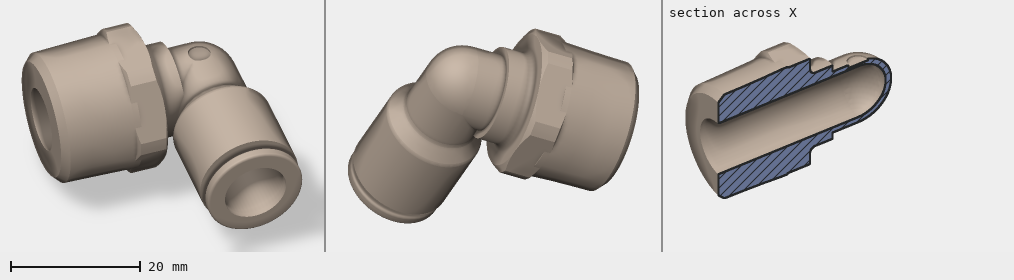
import cadquery as cq
import math


elbow_radius = 6.1
bore_radius = 5.0

collar_start = -4.65
collar_end = -7.9
collar_radius = 7.33
hex_top = -8.8
hex_bottom = -14.0
thread_gauge_station = -20.8
thread_end = -25.8

hex_across_flats = 21.0
hex_corner_radius = 11.5
hex_chamfer_angle = math.radians(30)
hex_top_chamfer_radius = hex_across_flats / 2
flare_radius = collar_end - hex_top

thread_gauge_diameter = 20.955
thread_gauge_radius = thread_gauge_diameter / 2
thread_taper = 1 / 16
thread_slope = thread_taper / 2
thread_chamfer = 1.15
shoulder_length = 1.0

cone_start = 7.8
cone_end = 10.42
socket_radius = 8.0
socket_end = 23.2
neck_radius = 5.6
flange_start = 24.55
flange_end = 26.19
flange_radius = 7.75
flange_edge_fillet = 0.4

cone_blend_radius = 1.0
socket_root = cone_start - cone_blend_radius

recess_radius = 1.75
recess_floor = 5.5


def thread_radius(station):
    return thread_gauge_radius + thread_slope * (station - thread_gauge_station)


def revolve_about_y(profile):
    return profile.close().revolve(360, (0, 0, 0), (0, 1, 0))


def revolve_about_x(profile):
    return profile.close().revolve(360, (0, 0, 0), (1, 0, 0))


def rounded_elbow(radius, y_end, x_end):
    """Two round legs meeting in a mitre, with a ball at the outer corner."""
    leg_y = cq.Workplane("XZ").circle(radius).extrude(-y_end)
    leg_x = cq.Workplane("YZ").circle(radius).extrude(x_end)
    ball = cq.Workplane("XY").sphere(radius)
    return leg_y.union(leg_x).union(ball)


def collar():
    """Plain round neck that flares out into the hexagon."""
    flare_tip = collar_radius + flare_radius
    return revolve_about_y(
        cq.Workplane("XY")
        .moveTo(0, collar_start)
        .lineTo(collar_radius, collar_start)
        .lineTo(collar_radius, collar_end)
        .radiusArc((flare_tip, hex_top), -flare_radius)
        .lineTo(0, hex_top)
    )


def hexagon():
    """Hexagonal prism with turned corners and chamfered ends."""
    shoulder_radius = thread_radius(hex_bottom)
    rise = math.tan(hex_chamfer_angle)
    top_drop = (hex_corner_radius - hex_top_chamfer_radius) * rise
    bottom_drop = (hex_corner_radius - shoulder_radius) * rise
    turned_blank = revolve_about_y(
        cq.Workplane("XY")
        .moveTo(0, hex_top)
        .lineTo(hex_top_chamfer_radius, hex_top)
        .lineTo(hex_corner_radius, hex_top - top_drop)
        .lineTo(hex_corner_radius, hex_bottom + bottom_drop)
        .lineTo(shoulder_radius, hex_bottom)
        .lineTo(0, hex_bottom)
    )
    across_corners = hex_across_flats / math.cos(math.radians(30))
    prism = (
        cq.Workplane("XZ", origin=(0, hex_top, 0))
        .polygon(6, across_corners)
        .extrude(hex_top - hex_bottom)
    )
    return prism.intersect(turned_blank)


def thread():
    """Tapered thread blank with a straight shoulder reaching into the hexagon."""
    shoulder_top = hex_bottom + shoulder_length
    shoulder_radius = thread_radius(hex_bottom)
    chamfer_start = thread_end + thread_chamfer
    chamfer_radius = thread_radius(chamfer_start)
    return revolve_about_y(
        cq.Workplane("XY")
        .moveTo(0, shoulder_top)
        .lineTo(shoulder_radius, shoulder_top)
        .lineTo(shoulder_radius, hex_bottom)
        .lineTo(chamfer_radius, chamfer_start)
        .lineTo(chamfer_radius - thread_chamfer, thread_end)
        .lineTo(0, thread_end)
    )


def tube_socket():
    """Cylindrical socket that widens from the elbow over a blended cone."""
    socket = revolve_about_x(
        cq.Workplane("XY")
        .moveTo(socket_root, 0)
        .lineTo(socket_root, elbow_radius)
        .lineTo(cone_start, elbow_radius)
        .lineTo(cone_end, socket_radius)
        .lineTo(socket_end, socket_radius)
        .lineTo(socket_end, 0)
    )
    reach = socket_radius + cone_blend_radius
    cone_zone = cq.selectors.BoxSelector(
        (socket_root + cone_blend_radius / 2, -reach, -reach),
        (cone_end + cone_blend_radius, reach, reach),
    )
    return socket.edges("%CIRCLE").edges(cone_zone).fillet(cone_blend_radius)


def release_ring():
    """Narrow neck and round-edged push flange at the tube opening."""
    neck = (
        cq.Workplane("YZ", origin=(socket_end, 0, 0))
        .circle(neck_radius)
        .extrude(flange_start - socket_end)
    )
    flange = (
        cq.Workplane("YZ", origin=(flange_start, 0, 0))
        .circle(flange_radius)
        .extrude(flange_end - flange_start)
        .edges()
        .fillet(flange_edge_fillet)
    )
    return neck.union(flange)


def marking_recess():
    return (
        cq.Workplane("XY", origin=(0, 0, recess_floor))
        .circle(recess_radius)
        .extrude(elbow_radius - recess_floor)
    )


body = rounded_elbow(elbow_radius, hex_top, socket_root)
for section in (collar(), hexagon(), thread(), tube_socket(), release_ring()):
    body = body.union(section)

result = body.cut(rounded_elbow(bore_radius, thread_end, flange_end)).cut(marking_recess())